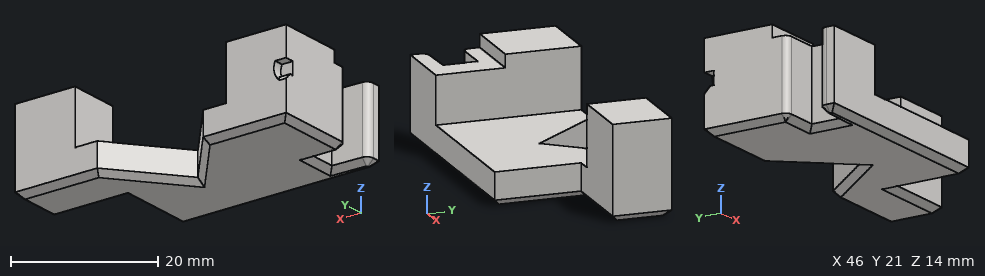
import cadquery as cq

LENGTH = 46.0
WIDTH = 21.0
HEIGHT = 14.0
PLATE_HEIGHT = 4.95
POST_LENGTH = 10.2
BOTTOM_CHAMFER = 0.95

STEP_WIDTH = 10.05
STEP_DEPTH = 1.95

CUTOUT_LENGTH = 12.5
CUTOUT_WIDTH = 12.45

NOTCH_START = 14.08
NOTCH_LENGTH = 17.95
NOTCH_DEPTH = 10.75

SLOT_DEPTH = 6.05
SLOT_BACK = 7.55
SLOT_FRONT_INNER = 2.58
SLOT_FRONT_MOUTH = 2.4
MOUTH_BACK_RADIUS = 0.95
MOUTH_FRONT_RADIUS = 1.1

RECESS_DEPTH = 2.05
RECESS_RADIUS = 2.55
RECESS_WIDTH = 1.55
RECESS_BOTTOM = 7.0
RECESS_TOP = 9.05
RECESS_BEVEL = 0.95


def make_plan():
    """Full-height block with the plan outline and a chamfered underside."""
    outline = [
        (0, 0),
        (LENGTH - CUTOUT_LENGTH, 0),
        (LENGTH - CUTOUT_LENGTH, CUTOUT_WIDTH),
        (LENGTH, CUTOUT_WIDTH),
        (LENGTH, WIDTH),
        (NOTCH_START + NOTCH_LENGTH, WIDTH),
        (NOTCH_START + NOTCH_LENGTH / 2, WIDTH - NOTCH_DEPTH),
        (NOTCH_START, WIDTH),
        (0, WIDTH),
        (0, SLOT_BACK),
        (SLOT_DEPTH, SLOT_BACK),
        (SLOT_DEPTH, SLOT_FRONT_INNER),
        (0, SLOT_FRONT_MOUTH),
    ]
    block = cq.Workplane("XY").polyline(outline).close().extrude(HEIGHT)
    for mouth_y, radius in ((SLOT_BACK, MOUTH_BACK_RADIUS), (SLOT_FRONT_MOUTH, MOUTH_FRONT_RADIUS)):
        corner = cq.selectors.NearestToPointSelector((0, mouth_y, HEIGHT / 2))
        block = block.edges("|Z").edges(corner).fillet(radius)
    return block.faces("<Z").edges().chamfer(BOTTOM_CHAMFER)


def make_channel():
    """Space above the plate, between the two posts."""
    return (
        cq.Workplane("XY")
        .box(LENGTH - 2 * POST_LENGTH, WIDTH, HEIGHT - PLATE_HEIGHT, centered=False)
        .translate((POST_LENGTH, 0, PLATE_HEIGHT))
    )


def make_step():
    """Lowered front part of the left post."""
    return (
        cq.Workplane("XY")
        .box(POST_LENGTH, STEP_WIDTH, STEP_DEPTH, centered=False)
        .translate((0, 0, HEIGHT - STEP_DEPTH))
    )


def make_recess():
    """Cylindrical recess bounded by a flat top and a floor bevelled at the back."""
    recess_front = WIDTH - RECESS_WIDTH
    side_profile = [
        (recess_front, RECESS_BOTTOM),
        (WIDTH - RECESS_BEVEL, RECESS_BOTTOM),
        (WIDTH, RECESS_BOTTOM - RECESS_BEVEL),
        (WIDTH, RECESS_TOP),
        (recess_front, RECESS_TOP),
    ]
    envelope = cq.Workplane("YZ").polyline(side_profile).close().extrude(RECESS_DEPTH)
    axis_x = RECESS_DEPTH - RECESS_RADIUS
    axis_z = (RECESS_BOTTOM + RECESS_TOP) / 2
    cylinder = (
        cq.Workplane("XZ", origin=(axis_x, WIDTH, axis_z))
        .circle(RECESS_RADIUS)
        .extrude(RECESS_WIDTH)
    )
    return envelope.intersect(cylinder)


result = make_plan().cut(make_channel()).cut(make_step()).cut(make_recess())